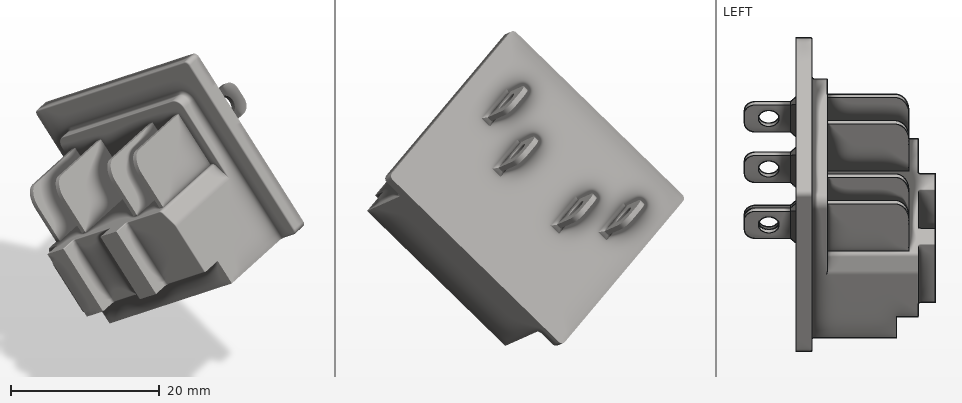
import cadquery as cq
import math


TILT = 40.0
OVERLAP = 0.43
SELECT_MARGIN = 0.05

FLANGE_WIDTH = 33.0
FLANGE_HEIGHT = 28.1
FLANGE_THICK = 2.2
FLANGE_CORNER = 0.7
FLANGE_EDGE = 0.2
FLANGE_BOTTOM = -FLANGE_HEIGHT / 2

STEP_HALF_WIDTH = 13.18
STEP_TOP = 10.0
STEP_DEPTH = 2.05
STEP_CORNER = 1.45
FOOT_FILLET = 0.35
EDGE_ROUND = 0.13

BODY_TOP = -0.2
BODY_DEPTH = 14.3
BODY_BEVEL_WIDTH = 1.03
BODY_BEVEL_HEIGHT = 2.52
BODY_BEVEL_UPPER_ROUND = 0.6
BODY_BEVEL_LOWER_ROUND = 1.4
LEDGE_DEPTH = 11.4
LEDGE_TOP = -10.4

RIB_WIDTH = 3.45
RIB_HEIGHT = 2.25
RIB_CENTERS = (-8.43, 3.0)

INNER_X = 5.55
OUTER_X = 11.12
CONTACT_THICK = 0.73

BLADE_TOP = 8.0
BLADE_DEPTH = 13.0
BLADE_NOSE_DEPTH = 1.85
BLADE_NOSE_HEIGHT = 2.8

LUG_WIDTH = 4.8
LUG_LENGTH = 6.95
LUG_CORNER = 1.6
LUG_HOLE = 2.8
LUG_HOLE_REACH = 3.65
LUG_INNER_Z = 0.13
LUG_OUTER_Z = 4.3
COLLAR_HEIGHT = 0.7
COLLAR_SPREAD = 0.43

FLANGE_FRONT = -FLANGE_THICK
STEP_FRONT = FLANGE_FRONT - STEP_DEPTH
BODY_FRONT = FLANGE_FRONT - BODY_DEPTH


def front_plane(y):
    """Sketch plane at the given Y, with its normal toward the front (-Y)."""
    return cq.Workplane("XZ", origin=(0, y, 0))


def band_selector(z):
    """Select the edges whose centres lie close to the given height."""
    reach = FLANGE_WIDTH
    return cq.selectors.BoxSelector(
        (-reach, -reach, z - SELECT_MARGIN), (reach, reach, z + SELECT_MARGIN)
    )


def make_flange():
    flange = front_plane(0).rect(FLANGE_WIDTH, FLANGE_HEIGHT).extrude(FLANGE_THICK)
    flange = flange.edges("|Y").fillet(FLANGE_CORNER)
    return flange.faces("<Y").edges().fillet(FLANGE_EDGE)


def make_step():
    """Step with a concave foot fillet on its sides and top; the lower end is cut off flush."""
    foot_half_width = STEP_HALF_WIDTH + FOOT_FILLET
    height = STEP_TOP - FLANGE_BOTTOM + OVERLAP
    center_z = STEP_TOP - height / 2
    step = (
        front_plane(FLANGE_FRONT)
        .center(0, center_z)
        .rect(2 * STEP_HALF_WIDTH, height)
        .extrude(STEP_DEPTH)
        .edges("|Y and >Z")
        .fillet(STEP_CORNER)
        .faces("<Y")
        .edges()
        .fillet(EDGE_ROUND)
    )
    slab_margin = FOOT_FILLET + OVERLAP
    slab = (
        front_plane(FLANGE_FRONT + OVERLAP)
        .center(0, center_z)
        .rect(2 * (STEP_HALF_WIDTH + slab_margin), height + 2 * slab_margin)
        .extrude(OVERLAP)
    )
    foot_edges = cq.selectors.BoxSelector(
        (-foot_half_width, FLANGE_FRONT - FOOT_FILLET, FLANGE_BOTTOM - slab_margin),
        (foot_half_width, FLANGE_FRONT + FOOT_FILLET, STEP_TOP + FOOT_FILLET),
        boundingbox=True,
    )
    filleted_step = slab.union(step).edges(foot_edges).fillet(FOOT_FILLET)
    kept_height = STEP_TOP + FOOT_FILLET - FLANGE_BOTTOM
    kept_region = (
        front_plane(FLANGE_FRONT + OVERLAP)
        .center(0, FLANGE_BOTTOM + kept_height / 2)
        .rect(2 * foot_half_width, kept_height)
        .extrude(STEP_DEPTH + OVERLAP)
    )
    return filleted_step.intersect(kept_region)


def make_body():
    side = STEP_HALF_WIDTH
    shoulder = side - BODY_BEVEL_WIDTH
    bevel_bottom = BODY_TOP - BODY_BEVEL_HEIGHT
    body = (
        front_plane(STEP_FRONT + OVERLAP)
        .moveTo(-side, FLANGE_BOTTOM)
        .lineTo(-side, bevel_bottom)
        .lineTo(-shoulder, BODY_TOP)
        .lineTo(shoulder, BODY_TOP)
        .lineTo(side, bevel_bottom)
        .lineTo(side, FLANGE_BOTTOM)
        .close()
        .extrude(BODY_DEPTH - STEP_DEPTH + OVERLAP)
    )
    body = body.edges("|Y and >Z").fillet(BODY_BEVEL_UPPER_ROUND)
    body = body.edges("|Y").edges(band_selector(bevel_bottom)).fillet(BODY_BEVEL_LOWER_ROUND)
    ledge_height = LEDGE_TOP - FLANGE_BOTTOM
    ledge_cut = (
        front_plane(FLANGE_FRONT - LEDGE_DEPTH)
        .center(0, FLANGE_BOTTOM + ledge_height / 2)
        .rect(2 * side, ledge_height)
        .extrude(BODY_DEPTH - LEDGE_DEPTH)
    )
    return body.cut(ledge_cut).faces("<Y").edges().fillet(EDGE_ROUND)


def make_rib(center):
    """Key rib with concave fillets where its two sides meet the body front."""
    half = RIB_WIDTH / 2
    foot = half + FOOT_FILLET
    blend_y = BODY_FRONT - FOOT_FILLET
    tip_y = BODY_FRONT - RIB_HEIGHT
    root_y = BODY_FRONT + OVERLAP
    rib = (
        cq.Workplane("XY", origin=(center, 0, LEDGE_TOP))
        .moveTo(-foot, root_y)
        .lineTo(-foot, BODY_FRONT)
        .radiusArc((-half, blend_y), FOOT_FILLET)
        .lineTo(-half, tip_y)
        .lineTo(half, tip_y)
        .lineTo(half, blend_y)
        .radiusArc((foot, BODY_FRONT), FOOT_FILLET)
        .lineTo(foot, root_y)
        .close()
        .extrude(BODY_TOP - LEDGE_TOP)
    )
    side_edges = cq.selectors.BoxSelector(
        (center - half - SELECT_MARGIN, tip_y, BODY_TOP - SELECT_MARGIN),
        (center + half + SELECT_MARGIN, blend_y, BODY_TOP + SELECT_MARGIN),
    )
    return rib.edges("|Y").edges(side_edges).fillet(EDGE_ROUND)


def make_blade(x):
    """Upright contact blade standing on the body, with a rounded front top corner."""
    tip_y = FLANGE_FRONT - BLADE_DEPTH
    root_y = STEP_FRONT + OVERLAP
    return (
        cq.Workplane("YZ", origin=(x - CONTACT_THICK / 2, 0, 0))
        .moveTo(root_y, BODY_TOP - OVERLAP)
        .lineTo(root_y, BLADE_TOP)
        .lineTo(tip_y + BLADE_NOSE_DEPTH, BLADE_TOP)
        .ellipseArc(BLADE_NOSE_DEPTH, BLADE_NOSE_HEIGHT, 90, 180, startAtCurrent=True, sense=1)
        .lineTo(tip_y, BODY_TOP - OVERLAP)
        .close()
        .extrude(CONTACT_THICK)
    )


def make_lug(x, z):
    """Solder lug behind the flange, with an eyelet and a tapered collar at its root."""
    lug = (
        cq.Workplane("XY")
        .box(CONTACT_THICK, LUG_LENGTH + OVERLAP, LUG_WIDTH, centered=(True, False, True))
        .translate((0, -OVERLAP, 0))
        .edges("|X and >Y")
        .fillet(LUG_CORNER)
    )
    eyelet = (
        cq.Workplane("YZ")
        .center(LUG_HOLE_REACH, 0)
        .circle(LUG_HOLE / 2)
        .extrude(CONTACT_THICK, both=True)
    )
    collar_taper = math.degrees(math.atan2(COLLAR_SPREAD, COLLAR_HEIGHT))
    collar = (
        front_plane(0)
        .rect(CONTACT_THICK + 2 * COLLAR_SPREAD, LUG_WIDTH + 2 * COLLAR_SPREAD)
        .extrude(-COLLAR_HEIGHT, taper=collar_taper)
    )
    return lug.cut(eyelet).union(collar).translate((x, 0, z))


part = make_flange().union(make_step()).union(make_body())
for rib_center in RIB_CENTERS:
    part = part.union(make_rib(rib_center))
for side_sign in (-1, 1):
    part = part.union(make_blade(side_sign * INNER_X))
    part = part.union(make_blade(side_sign * OUTER_X))
    part = part.union(make_lug(side_sign * INNER_X, LUG_INNER_Z))
    part = part.union(make_lug(side_sign * OUTER_X, LUG_OUTER_Z))

result = part.rotate((0, 0, 0), (0, 1, 0), -TILT)